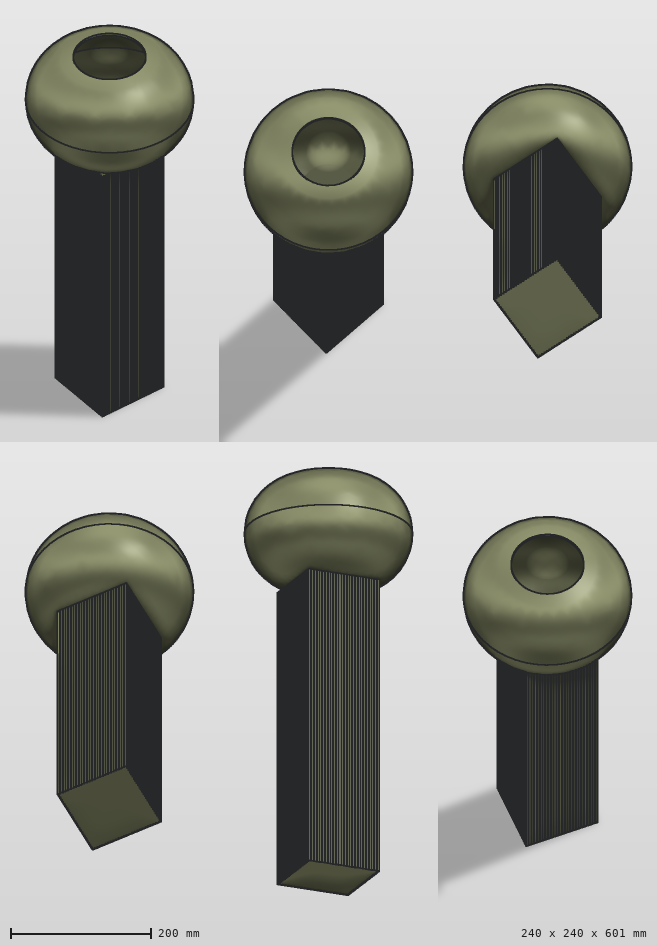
import cadquery as cq
import math

total_height = 601.0
bowl_diameter = 240.0
bulge_radius = 80.0
opening_radius = 52.0
wall_thickness = 3.95
post_width = 110.0
groove_count = 25
groove_pitch = 4.25
groove_width = 0.65
groove_depth = 0.95

flat_radius = bowl_diameter / 2 - bulge_radius
inner_bulge_radius = bulge_radius - wall_thickness


def height_on_bulge(bulge, radius):
    """Height above the bowl's equator of a point on a bulge at this radius from the Z axis."""
    return math.sqrt(bulge**2 - (radius - flat_radius) ** 2)


post_height = total_height - bulge_radius - height_on_bulge(bulge_radius, opening_radius)
equator_z = post_height + bulge_radius


def bulge_point(bulge, angle):
    """Profile point on a bulge, at an angle in radians above the equator."""
    return (flat_radius + bulge * math.cos(angle), equator_z + bulge * math.sin(angle))


def make_upper_bowl():
    """Upper half of the bowl: a thin shell from the equator up to the round opening."""
    outer_rim = equator_z + height_on_bulge(bulge_radius, opening_radius)
    inner_rim = equator_z + height_on_bulge(inner_bulge_radius, opening_radius)
    middle = math.pi / 4
    profile = (
        cq.Workplane("XZ")
        .moveTo(*bulge_point(bulge_radius, 0))
        .threePointArc(bulge_point(bulge_radius, middle), (opening_radius, outer_rim))
        .lineTo(opening_radius, inner_rim)
        .threePointArc(bulge_point(inner_bulge_radius, middle), bulge_point(inner_bulge_radius, 0))
        .close()
    )
    return profile.revolve(360, (0, 0, 0), (0, 1, 0))


def make_lower_bowl():
    """Lower half of the bowl: a thin shell from the equator down to the closed flat bottom."""
    middle = -math.pi / 4
    bottom = -math.pi / 2
    profile = (
        cq.Workplane("XZ")
        .moveTo(*bulge_point(bulge_radius, 0))
        .threePointArc(bulge_point(bulge_radius, middle), bulge_point(bulge_radius, bottom))
        .lineTo(0, equator_z - bulge_radius)
        .lineTo(0, equator_z - inner_bulge_radius)
        .lineTo(*bulge_point(inner_bulge_radius, bottom))
        .threePointArc(bulge_point(inner_bulge_radius, middle), bulge_point(inner_bulge_radius, 0))
        .close()
    )
    return profile.revolve(360, (0, 0, 0), (0, 1, 0))


def post_side_points():
    """Outline of the -Y side of the post: its left corner, then every groove from left to right."""
    surface = -post_width / 2
    floor = surface + groove_depth
    points = [(surface, surface)]
    for index in range(groove_count):
        center = (index - (groove_count - 1) / 2) * groove_pitch
        left = center - groove_width / 2
        right = center + groove_width / 2
        points += [(left, surface), (left, floor), (right, floor), (right, surface)]
    return points


def make_post():
    """Square post with the same full-height grooves on all four sides."""
    side = post_side_points()
    outline = []
    for _ in range(4):
        outline += side
        side = [(-y, x) for x, y in side]
    return cq.Workplane("XY").polyline(outline).close().extrude(post_height)


post = make_post()
lower_bowl = make_lower_bowl()
upper_bowl = make_upper_bowl()

result = cq.Compound.makeCompound([post.val(), lower_bowl.val(), upper_bowl.val()])